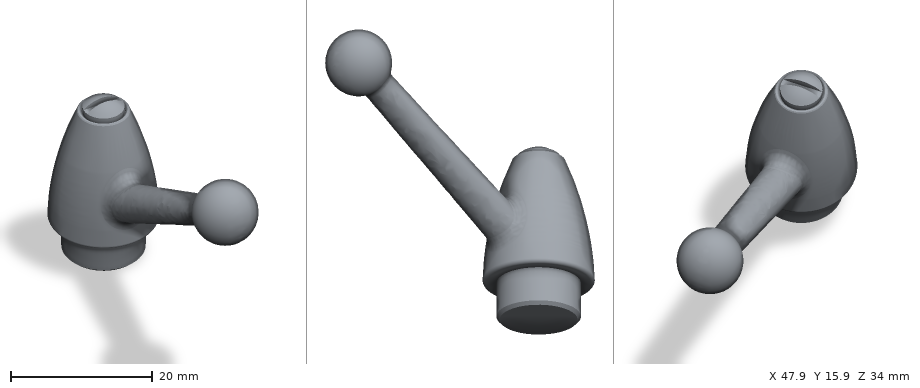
import cadquery as cq
import math

shank_radius = 6.0
shank_height = 5.55
shank_chamfer = 0.5

hub_foot_radius = 7.95
hub_top_radius = 3.8
hub_top_z = 24.45
hub_foot_round = 0.55
hub_top_chamfer = 0.15
hub_middle_radius = 6.75
hub_middle_z = 15.35

recess_radius = 3.09
recess_depth = 0.5
recess_mouth_chamfer = 0.3
screw_radius = 2.995
screw_rim_z = 25.05
screw_dome_z = 26.15
slot_width = 1.05

ball_radius = 4.75
ball_x = 47.9 - hub_foot_radius - ball_radius
ball_z = 34.0 - ball_radius
arm_angle = 30.8
arm_hub_half_height = 3.0
arm_hub_half_width = 3.15
arm_ball_half_height = 2.0
arm_ball_half_width = 2.5
hub_fillet = 1.9
ball_fillet = 0.7


def make_hub():
    """Turned body, rotated so that its seam lies opposite the arm."""
    foot_top_z = shank_height + hub_foot_round
    return (
        cq.Workplane("XZ")
        .moveTo(0, shank_height)
        .lineTo(hub_foot_radius - hub_foot_round, shank_height)
        .radiusArc((hub_foot_radius, foot_top_z), -hub_foot_round)
        .threePointArc((hub_middle_radius, hub_middle_z), (hub_top_radius, hub_top_z - hub_top_chamfer))
        .lineTo(hub_top_radius - hub_top_chamfer, hub_top_z)
        .lineTo(0, hub_top_z)
        .close()
        .revolve(360, (0, 0), (0, 1))
        .rotate((0, 0, 0), (0, 0, 1), 180)
    )


def make_arm():
    """Tapered oval bar along the arm axis, from the hub axis to the ball centre."""
    length = ball_x / math.cos(math.radians(arm_angle))
    start_z = ball_z - ball_x * math.tan(math.radians(arm_angle))
    return (
        cq.Workplane("XY")
        .ellipse(arm_hub_half_height, arm_hub_half_width)
        .workplane(offset=length)
        .ellipse(arm_ball_half_height, arm_ball_half_width)
        .loft(ruled=True)
        .rotate((0, 0, 0), (0, 1, 0), 90 - arm_angle)
        .translate((0, 0, start_z))
    )


def make_lever():
    """Hub, arm and ball, with both arm ends blended."""
    ball = cq.Workplane("XY").sphere(ball_radius).translate((ball_x, 0, ball_z))
    hub = make_hub()
    arm = make_arm().cut(hub)
    lever = hub.union(arm)
    joint_x = hub_middle_radius
    joint_z = ball_z - (ball_x - joint_x) * math.tan(math.radians(arm_angle))
    joint_box = cq.selectors.BoxSelector(
        (joint_x - arm_hub_half_width, -arm_hub_half_width, joint_z - 2 * arm_hub_half_height),
        (joint_x + arm_hub_half_width, arm_hub_half_width, joint_z + 2 * arm_hub_half_height),
    )
    lever = lever.edges(joint_box).fillet(hub_fillet)
    lever = lever.union(ball)
    neck_box = cq.selectors.BoxSelector(
        (ball_x - ball_radius, -ball_radius, ball_z - ball_radius),
        (ball_x - ball_radius / 2, ball_radius, ball_z),
    )
    return lever.edges(neck_box).fillet(ball_fillet)


def make_shank():
    shank = cq.Workplane("XY").circle(shank_radius).extrude(shank_height)
    return shank.faces("<Z").chamfer(shank_chamfer)


def make_screw():
    """Screw head with a domed top and a driver slot along Y."""
    dome_height = screw_dome_z - screw_rim_z
    dome_radius = (screw_radius**2 + dome_height**2) / (2 * dome_height)
    half_radius = screw_radius / 2
    half_z = screw_dome_z - dome_radius + math.sqrt(dome_radius**2 - half_radius**2)
    head = (
        cq.Workplane("XZ")
        .moveTo(0, hub_top_z - recess_depth)
        .lineTo(screw_radius, hub_top_z - recess_depth)
        .lineTo(screw_radius, screw_rim_z)
        .threePointArc((half_radius, half_z), (0, screw_dome_z))
        .close()
        .revolve(360, (0, 0), (0, 1))
    )
    slot = (
        cq.Workplane("XY", origin=(0, 0, screw_rim_z))
        .rect(slot_width, 2 * screw_radius)
        .extrude(dome_height)
    )
    return head.cut(slot)


def make_recess():
    """Pocket for the screw head, with a chamfered mouth."""
    pocket = (
        cq.Workplane("XY", origin=(0, 0, hub_top_z))
        .circle(recess_radius)
        .extrude(-recess_depth)
    )
    mouth = cq.Workplane("XY").add(
        cq.Solid.makeCone(
            recess_radius,
            recess_radius + recess_mouth_chamfer,
            recess_mouth_chamfer,
            pnt=cq.Vector(0, 0, hub_top_z - recess_mouth_chamfer),
        )
    )
    return pocket.union(mouth)


result = make_lever().cut(make_recess()).union(make_shank()).union(make_screw())